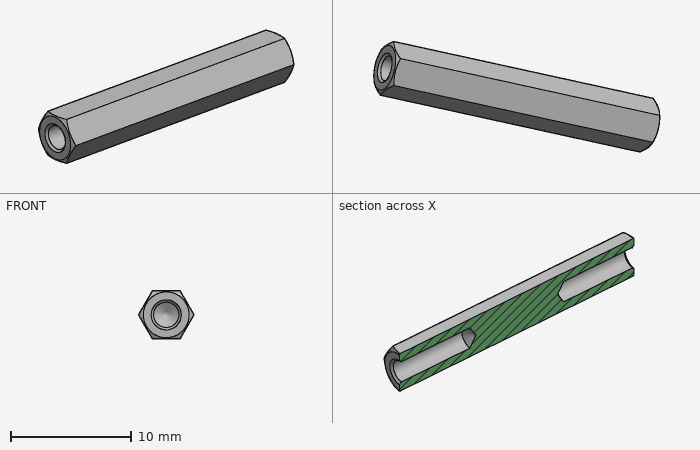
import cadquery as cq
import math

length = 25.0
across_flats = 4.0
across_corners = across_flats / math.cos(math.radians(30))

end_face_diameter = 3.8
corner_chamfer_angle = 30.0

bore_diameter = 2.1
mouth_diameter = 2.5
bore_depth = 7.5
drill_point_angle = 118.0


def revolve_about_y(profile):
    """Turn a closed (radius, y) outline into a solid about the Y axis."""
    return cq.Workplane("XY").polyline(profile).close().revolve(360, (0, 0, 0), (0, 1, 0))


def hexagonal_bar():
    bar = cq.Workplane("XZ").polygon(6, across_corners).extrude(length / 2, both=True)
    end_radius = end_face_diameter / 2
    outer_radius = across_corners
    end_y = length / 2
    shoulder_y = end_y - (outer_radius - end_radius) * math.tan(math.radians(corner_chamfer_angle))
    turned_envelope = revolve_about_y([
        (0, -end_y),
        (end_radius, -end_y),
        (outer_radius, -shoulder_y),
        (outer_radius, shoulder_y),
        (end_radius, end_y),
        (0, end_y),
    ])
    return bar.intersect(turned_envelope)


def front_hole():
    bore_radius = bore_diameter / 2
    mouth_radius = mouth_diameter / 2
    mouth_y = -length / 2
    countersink_y = mouth_y + mouth_radius - bore_radius
    bore_end_y = mouth_y + bore_depth
    tip_y = bore_end_y + bore_radius / math.tan(math.radians(drill_point_angle / 2))
    return revolve_about_y([
        (0, mouth_y),
        (mouth_radius, mouth_y),
        (bore_radius, countersink_y),
        (bore_radius, bore_end_y),
        (0, tip_y),
    ])


hole = front_hole()
result = hexagonal_bar().cut(hole).cut(hole.mirror("XZ"))